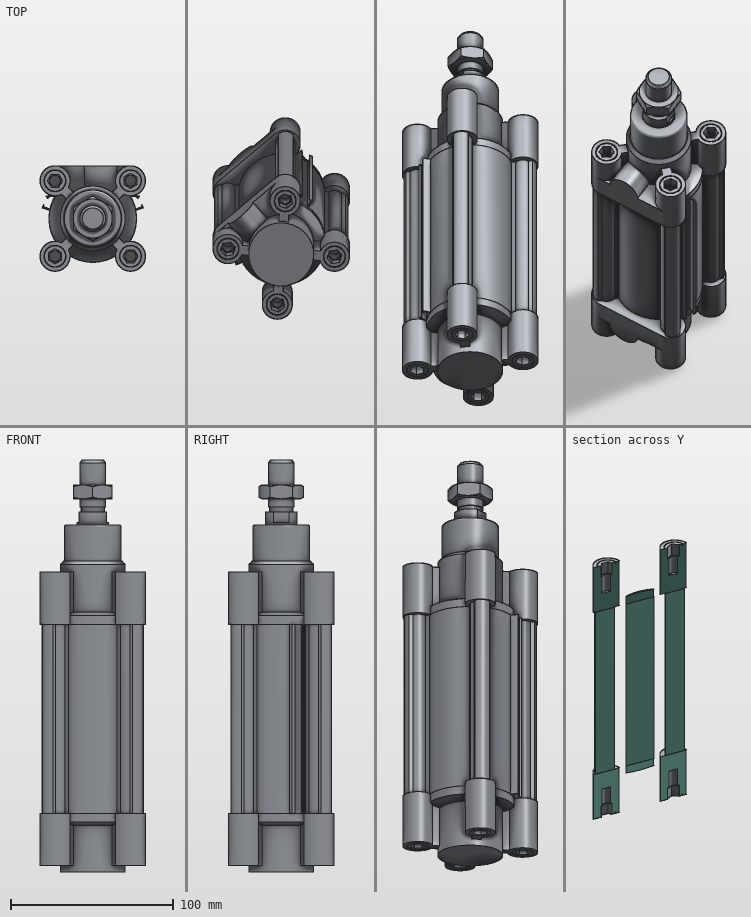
import cadquery as cq
import math


total_height = 254.0
rear_spigot_length = 4.0
corner_length = 181.0
cap_length = 32.3
rear_face_z = rear_spigot_length
front_face_z = rear_face_z + corner_length
barrel_bottom_z = rear_face_z + cap_length
barrel_top_z = front_face_z - cap_length
barrel_length = barrel_top_z - barrel_bottom_z

corner_pitch = 46.5
corner_offset = corner_pitch / 2
corner_diameter = 18.5
cap_half_width = corner_offset + corner_diameter / 2
neck_diameter = 40.0
flange_diameter = 54.0
flange_thickness = 5.3
flange_cone_height = 2.3
cap_web_width = 6.0
port_diameter = 20.0
port_offset_x = 5.0
port_height = 15.0

screw_head_diameter = 13.0
screw_recess_diameter = 13.5
screw_gap_depth = 1.0
socket_across_flats = 8.0
socket_depth = 8.0
screw_bore_diameter = 6.75
screw_bore_depth = 20.0

front_neck_length = 4.5
collar_diameter = 35.0
collar_cone_height = 2.3
collar_cone_angle = 45.0
collar_top_z = 214.0
collar_rim_radius = 1.5
wiper_diameter = 20.0
wiper_depth = 1.5

rod_diameter = 19.5
rod_shoulder_z = 222.0
rod_across_flats = 17.0
rod_flat_gap = 1.5
rod_flat_bottom_z = collar_top_z + rod_flat_gap
relief_diameter = 14.5
relief_length = 3.0
thread_diameter = 16.0
thread_chamfer_height = 2.0
thread_chamfer_width = 1.5

nut_bottom_z = 230.0
nut_thickness = 8.5
nut_across_flats = 24.0
nut_face_diameter = 24.0
nut_chamfer_angle = 30.0

barrel_diameter = flange_diameter
rail_diameter = 12.2
crest_radius = 6.5
crest_offset = 24.6
web_root_distance = 26.4
web_root_width = 10.8
web_tip_distance = 28.8
web_tip_width = 9.4
groove_lower_lip = [(-25.5, 4.7), (-26.5, 5.0), (-31.2, 6.6), (-30.2, 8.5), (-29.9, 7.1), (-25.5, 5.5)]
groove_upper_lip = [(-22.0, 14.5), (-28.8, 13.9), (-27.9, 12.4), (-27.4, 12.7), (-27.8, 13.3), (-22.0, 13.8)]

corner_signs = [(sx, sy) for sx in (-1, 1) for sy in (-1, 1)]


def cylinder(diameter, bottom, top):
    """Solid cylinder on the Z axis between two heights."""
    return cq.Workplane("XY", origin=(0, 0, bottom)).circle(diameter / 2).extrude(top - bottom)


def diagonal_webs(width, reach, height):
    """Two crossed bars along the XY diagonals, standing on Z = 0."""
    bar = cq.Workplane("XY").box(2 * reach, width, height, centered=(True, True, False))
    first = bar.rotate((0, 0, 0), (0, 0, 1), 45)
    second = bar.rotate((0, 0, 0), (0, 0, 1), -45)
    return first.union(second)


def hexagon(across_flats, height, pointing_along_y):
    """Hexagonal prism standing on Z = 0."""
    across_corners = across_flats / math.cos(math.radians(30))
    prism = cq.Workplane("XY").polygon(6, across_corners).extrude(height)
    if pointing_along_y:
        prism = prism.rotate((0, 0, 0), (0, 0, 1), 30)
    return prism


def screw_pocket(pointing_along_y):
    """Cut-out round and inside a screw head, going down from Z = 0."""
    gap = (
        cq.Workplane("XY")
        .circle(screw_recess_diameter / 2)
        .circle(screw_head_diameter / 2)
        .extrude(-screw_gap_depth)
    )
    socket = hexagon(socket_across_flats, socket_depth, pointing_along_y).translate((0, 0, -socket_depth))
    bore = cylinder(screw_bore_diameter, -screw_bore_depth, 0)
    return gap.union(socket).union(bore)


def port_block():
    """Pad on the +Y side that carries the round port boss."""
    pad = (
        cq.Workplane("XY")
        .moveTo(0, 0)
        .lineTo(corner_offset, corner_offset)
        .lineTo(corner_offset, cap_half_width)
        .lineTo(-corner_offset, cap_half_width)
        .lineTo(-corner_offset, corner_offset)
        .close()
        .extrude(port_height)
    )
    boss = (
        cq.Workplane("XZ", origin=(port_offset_x, 0, port_height))
        .circle(port_diameter / 2)
        .extrude(-cap_half_width)
    )
    return pad.union(boss)


def cap_body(neck_top):
    """Cap standing with its barrel joint on Z = 0 and its neck ending at neck_top."""
    cone_top = flange_thickness + flange_cone_height
    neck_radius = neck_diameter / 2
    body = (
        cq.Workplane("XZ")
        .moveTo(0, 0)
        .lineTo(flange_diameter / 2, 0)
        .lineTo(flange_diameter / 2, flange_thickness)
        .lineTo(neck_radius, cone_top)
        .lineTo(neck_radius, neck_top)
        .lineTo(0, neck_top)
        .close()
        .revolve(360, (0, 0, 0), (0, 1, 0))
    )
    body = body.union(diagonal_webs(cap_web_width, corner_offset * math.sqrt(2), cap_length))
    body = body.union(port_block())
    for sx, sy in corner_signs:
        place = (sx * corner_offset, sy * corner_offset, 0)
        body = body.union(cylinder(corner_diameter, 0, cap_length).translate(place))
    for sx, sy in corner_signs:
        place = (sx * corner_offset, sy * corner_offset, cap_length)
        body = body.cut(screw_pocket(pointing_along_y=sx == sy).translate(place))
    return body


def make_rear_cap():
    body = cap_body(cap_length + rear_spigot_length)
    return body.mirror("XY").translate((0, 0, barrel_bottom_z))


def make_front_cap():
    body = cap_body(cap_length + front_neck_length).translate((0, 0, barrel_top_z))
    neck_top_z = front_face_z + front_neck_length
    cone = (
        cq.Workplane("XY", origin=(0, 0, neck_top_z))
        .circle(neck_diameter / 2)
        .extrude(collar_cone_height, taper=collar_cone_angle)
    )
    collar = cylinder(collar_diameter, neck_top_z, collar_top_z).faces(">Z").edges().fillet(collar_rim_radius)
    rod_bore = cylinder(rod_diameter, barrel_top_z, collar_top_z)
    wiper_recess = cylinder(wiper_diameter, collar_top_z - wiper_depth, collar_top_z)
    return body.union(cone).union(collar).cut(rod_bore).cut(wiper_recess)


def corner_rail():
    """Tie rail with its crest and web, along the +X direction and standing on Z = 0."""
    axis_distance = corner_offset * math.sqrt(2)
    web = (
        cq.Workplane("XY")
        .moveTo(0, 0)
        .lineTo(web_root_distance, web_root_width / 2)
        .lineTo(web_tip_distance, web_tip_width / 2)
        .lineTo(axis_distance, web_tip_width / 2)
        .lineTo(axis_distance, -web_tip_width / 2)
        .lineTo(web_tip_distance, -web_tip_width / 2)
        .lineTo(web_root_distance, -web_root_width / 2)
        .close()
        .extrude(barrel_length)
    )
    rail = cq.Workplane("XY").center(axis_distance, 0).circle(rail_diameter / 2).extrude(barrel_length)
    crest_end = crest_radius / math.sqrt(2)
    crest_centre = crest_offset * math.sqrt(2)
    crest = (
        cq.Workplane("XY")
        .moveTo(axis_distance, -crest_end)
        .lineTo(crest_centre + crest_end, -crest_end)
        .threePointArc((crest_centre + crest_radius, 0), (crest_centre + crest_end, crest_end))
        .lineTo(axis_distance, crest_end)
        .close()
        .extrude(barrel_length)
    )
    return web.union(rail).union(crest)


def sensor_groove():
    """Pair of hooked lips forming the sensor groove on the -X side."""
    lower = cq.Workplane("XY").polyline(groove_lower_lip).close().extrude(barrel_length)
    upper = cq.Workplane("XY").polyline(groove_upper_lip).close().extrude(barrel_length)
    return lower.union(upper)


def make_barrel():
    body = cylinder(barrel_diameter, 0, barrel_length)
    for angle in (45, 135, 225, 315):
        body = body.union(corner_rail().rotate((0, 0, 0), (0, 0, 1), angle))
    groove = sensor_groove()
    body = body.union(groove).union(groove.mirror("YZ"))
    return body.translate((0, 0, barrel_bottom_z))


def make_rod():
    thread_bottom_z = rod_shoulder_z + relief_length
    shank = cylinder(rod_diameter, barrel_top_z, rod_shoulder_z)
    flat_height = rod_shoulder_z - rod_flat_bottom_z
    outside = cq.Workplane("XY").rect(2 * rod_diameter, 2 * rod_diameter).rect(rod_across_flats, 2 * rod_diameter)
    shank = shank.cut(outside.extrude(flat_height).translate((0, 0, rod_flat_bottom_z)))
    relief = cylinder(relief_diameter, rod_shoulder_z, thread_bottom_z)
    thread = cylinder(thread_diameter, thread_bottom_z, total_height).faces(">Z").edges()
    thread = thread.chamfer(thread_chamfer_height, thread_chamfer_width)
    return shank.union(relief).union(thread)


def make_nut():
    prism = hexagon(nut_across_flats, nut_thickness, pointing_along_y=True)
    rise = math.tan(math.radians(nut_chamfer_angle))
    face_radius = nut_face_diameter / 2
    rim_radius = face_radius + nut_thickness / 2 / rise
    turned = (
        cq.Workplane("XZ")
        .polyline([(0, 0), (face_radius, 0), (rim_radius, nut_thickness / 2),
                   (face_radius, nut_thickness), (0, nut_thickness)])
        .close()
        .revolve(360, (0, 0, 0), (0, 1, 0))
    )
    nut = prism.intersect(turned).cut(cylinder(thread_diameter, 0, nut_thickness))
    return nut.translate((0, 0, nut_bottom_z))


rear_cap = make_rear_cap()
barrel = make_barrel()
front_cap = make_front_cap()
rod = make_rod()
nut = make_nut()

result = cq.Compound.makeCompound(
    [rear_cap.val(), barrel.val(), front_cap.val(), rod.val(), nut.val()]
)